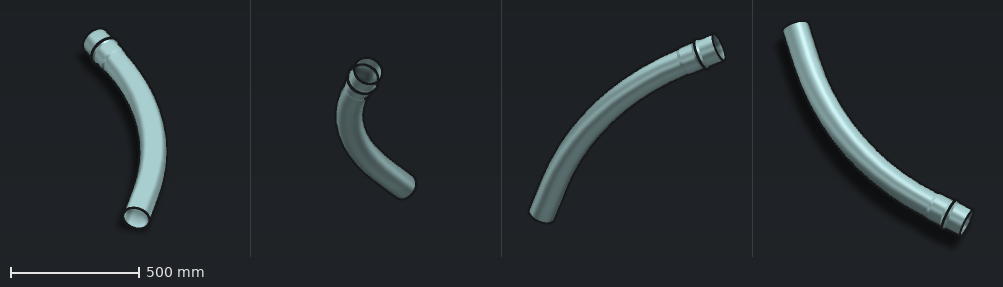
import cadquery as cq
import math

pipe_diameter = 110.0
pipe_bore = 103.59
bend_radius = 1000.0
bend_angle = 45.0
spigot_length = 159.0

socket_diameter = 116.8
socket_bore = 110.4
ring_diameter = 130.5
ring_groove_diameter = 124.1

ring_middle = 76.4
ring_width = 28.4
ring_crest_width = 2.6
ring_foot_radius = 4.0
taper_start = 144.6
taper_end = 157.0
socket_length = 159.0


def socket_body(diameter, crest_diameter, end_diameter):
    """Solid of revolution about X: a cylinder with a ridge, tapering to the pipe."""
    radius = diameter / 2
    crest_radius = crest_diameter / 2
    end_radius = end_diameter / 2

    flank_angle = math.atan2(crest_radius - radius, (ring_width - ring_crest_width) / 2)
    setback = ring_foot_radius * math.tan(flank_angle / 2)
    foot_outer = ring_width / 2 + setback
    foot_inner = ring_width / 2 - setback * math.cos(flank_angle)
    foot_inner_radius = radius + setback * math.sin(flank_angle)
    crest_half = ring_crest_width / 2

    return (
        cq.Workplane("XY")
        .lineTo(0, radius)
        .lineTo(ring_middle - foot_outer, radius)
        .tangentArcPoint((ring_middle - foot_inner, foot_inner_radius), relative=False)
        .lineTo(ring_middle - crest_half, crest_radius)
        .lineTo(ring_middle + crest_half, crest_radius)
        .lineTo(ring_middle + foot_inner, foot_inner_radius)
        .tangentArcPoint((ring_middle + foot_outer, radius), relative=False)
        .lineTo(taper_start, radius)
        .lineTo(taper_end, end_radius)
        .lineTo(socket_length, end_radius)
        .lineTo(socket_length, 0)
        .close()
        .revolve(360, (0, 0, 0), (1, 0, 0))
    )


def make_socket():
    outside = socket_body(socket_diameter, ring_diameter, pipe_diameter)
    inside = socket_body(socket_bore, ring_groove_diameter, pipe_bore)
    return outside.cut(inside)


def pipe_section(workplane):
    return workplane.circle(pipe_diameter / 2).circle(pipe_bore / 2)


def make_bend():
    """Tube bent around a vertical axis on the -Y side of the socket's end."""
    section = pipe_section(cq.Workplane("YZ", origin=(socket_length, 0, 0)))
    return section.revolve(bend_angle, (-bend_radius, 0, 0), (-bend_radius, -1, 0))


def make_spigot():
    """Straight tube that leaves the bend along its tangent."""
    angle = math.radians(bend_angle)
    start = (
        socket_length + bend_radius * math.sin(angle),
        -bend_radius * (1 - math.cos(angle)),
        0,
    )
    direction = (math.cos(angle), -math.sin(angle), 0)
    plane = cq.Plane(origin=start, xDir=(0, 0, 1), normal=direction)
    return pipe_section(cq.Workplane(plane)).extrude(spigot_length)


result = make_socket().union(make_bend()).union(make_spigot())